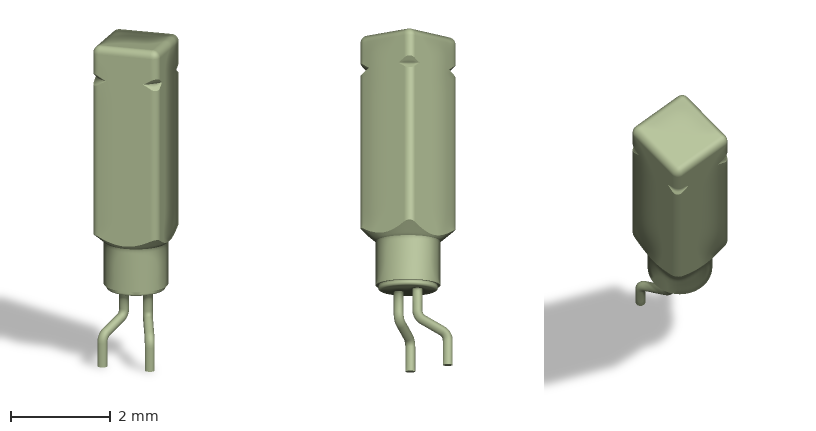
import cadquery as cq
import math

PLUG_BOTTOM = 1.5
CAN_BOTTOM = 1.6
HOUSING_BOTTOM = 2.5
HOUSING_TOP = 6.7

HOUSING_WIDTH = 1.4
HOUSING_DEPTH = 1.48
EDGE_RADIUS = 0.15
CORNER_REACH = math.hypot(HOUSING_WIDTH, HOUSING_DEPTH) / 2

LOWER_CONE_ANGLE = math.radians(40)

GROOVE_HEIGHT = 6.0
GROOVE_ROOT_RADIUS = 0.835

CAN_RADIUS = 0.65
PLUG_RADIUS = 0.6
PLUG_EDGE_RADIUS = 0.05

LEAD_RADIUS = 0.1
LEAD_ROOT_X = 0.25
LEAD_TIP_X = 0.5
LEAD_TIP_Y = LEAD_RADIUS - HOUSING_DEPTH / 2
BEND_RADIUS = 0.2
LOWER_BEND_HEIGHT = 0.635
UPPER_BEND_HEIGHT = 0.93


def turned_ring(points):
    """Revolve an (r, z) outline around the Z axis."""
    return cq.Workplane("XZ").polyline(points).close().revolve(360, (0, 0, 0), (0, 1, 0))


def make_housing():
    block = (
        cq.Workplane("XY")
        .workplane(offset=HOUSING_BOTTOM)
        .rect(HOUSING_WIDTH, HOUSING_DEPTH)
        .extrude(HOUSING_TOP - HOUSING_BOTTOM)
        .edges("|Z or >Z")
        .fillet(EDGE_RADIUS)
    )

    cone_rise = (CORNER_REACH - CAN_RADIUS) * math.tan(LOWER_CONE_ANGLE)
    lower_trim = turned_ring([
        (CAN_RADIUS, HOUSING_BOTTOM),
        (CORNER_REACH, HOUSING_BOTTOM),
        (CORNER_REACH, HOUSING_BOTTOM + cone_rise),
    ])

    groove_half_height = CORNER_REACH - GROOVE_ROOT_RADIUS
    groove = turned_ring([
        (GROOVE_ROOT_RADIUS, GROOVE_HEIGHT),
        (CORNER_REACH, GROOVE_HEIGHT - groove_half_height),
        (CORNER_REACH, GROOVE_HEIGHT + groove_half_height),
    ])
    return block.cut(lower_trim).cut(groove)


def make_can():
    can_length = HOUSING_BOTTOM - CAN_BOTTOM
    return cq.Workplane("XY").workplane(offset=CAN_BOTTOM).circle(CAN_RADIUS).extrude(can_length)


def make_plug():
    plug = (
        cq.Workplane("XY")
        .workplane(offset=PLUG_BOTTOM)
        .circle(PLUG_RADIUS)
        .extrude(CAN_BOTTOM - PLUG_BOTTOM)
    )
    return plug.faces("<Z").edges().fillet(PLUG_EDGE_RADIUS)


def make_lead(side):
    """Wire lead that bends outward and forward; side is -1 (left) or +1 (right)."""
    tip = cq.Vector(side * LEAD_TIP_X, LEAD_TIP_Y, 0)
    root = cq.Vector(side * LEAD_ROOT_X, 0, PLUG_BOTTOM)
    lower_bend = cq.Vector(tip.x, tip.y, LOWER_BEND_HEIGHT)
    upper_bend = cq.Vector(root.x, root.y, UPPER_BEND_HEIGHT)

    up = cq.Vector(0, 0, 1)
    slant = (upper_bend - lower_bend).normalized()
    turn = up.getAngle(slant)
    bend_setback = BEND_RADIUS * math.tan(turn / 2)

    lower_start = lower_bend - up * bend_setback
    lower_end = lower_bend + slant * bend_setback
    upper_start = upper_bend - slant * bend_setback
    upper_end = upper_bend + up * bend_setback
    path = cq.Wire.assembleEdges([
        cq.Edge.makeLine(tip, lower_start),
        cq.Edge.makeTangentArc(lower_start, up, lower_end),
        cq.Edge.makeLine(lower_end, upper_start),
        cq.Edge.makeTangentArc(upper_start, slant, upper_end),
        cq.Edge.makeLine(upper_end, root),
    ])
    return cq.Workplane("XY").center(tip.x, tip.y).circle(LEAD_RADIUS).sweep(path)


housing = make_housing()
can = make_can()
plug = make_plug()
leads = [make_lead(side) for side in (-1, 1)]

result = cq.Compound.makeCompound([
    housing.val(),
    can.val(),
    plug.val(),
    *[lead.val() for lead in leads],
])